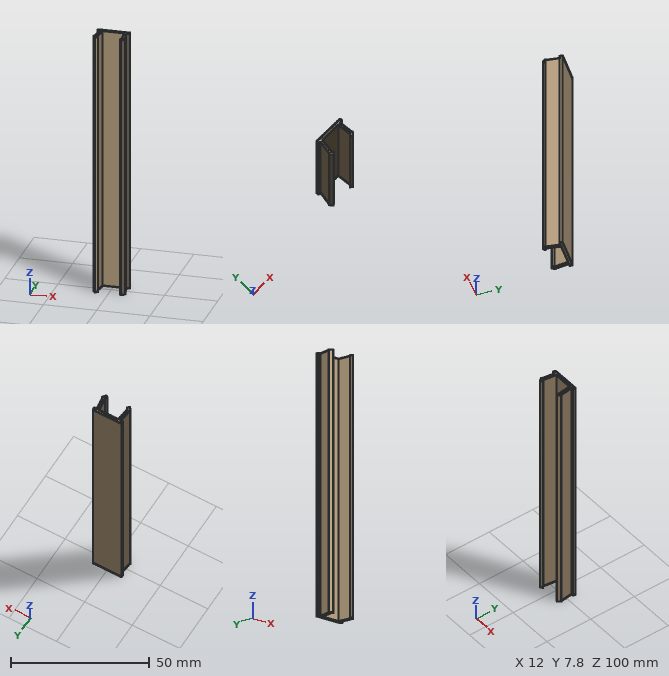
import cadquery as cq

length = 100.0
width = 12.0
depth = 7.8
plate_thickness = 1.1

leg_root_outer_x = 5.0
leg_end_outer_x = 5.7
leg_thickness = 1.0

tip_x = 5.0
barb_y = 6.5
hook_x = 4.1
hook_y = 7.2
hook_root_y = 6.5

plate_outer_y = depth / 2
plate_inner_y = plate_outer_y - plate_thickness


def make_plate():
    return (
        cq.Workplane("XY")
        .rect(width, plate_thickness)
        .extrude(length)
        .translate((0, plate_outer_y - plate_thickness / 2, 0))
    )


def make_leg(side):
    """Splayed leg and its arrow-shaped foot; side is +1 or -1 along X."""
    outline = [
        (leg_root_outer_x, plate_outer_y - plate_thickness / 2),
        (leg_root_outer_x, plate_inner_y),
        (leg_end_outer_x, plate_outer_y - barb_y),
        (width / 2, plate_outer_y - barb_y),
        (tip_x, plate_outer_y - depth),
        (hook_x, plate_outer_y - hook_y),
        (leg_end_outer_x - leg_thickness, plate_outer_y - hook_root_y),
        (leg_root_outer_x - leg_thickness, plate_inner_y),
        (leg_root_outer_x - leg_thickness, plate_outer_y - plate_thickness / 2),
    ]
    points = [(side * x, y) for x, y in outline]
    return cq.Workplane("XY").polyline(points).close().extrude(length)


result = make_plate()
for side in (-1, 1):
    result = result.union(make_leg(side))